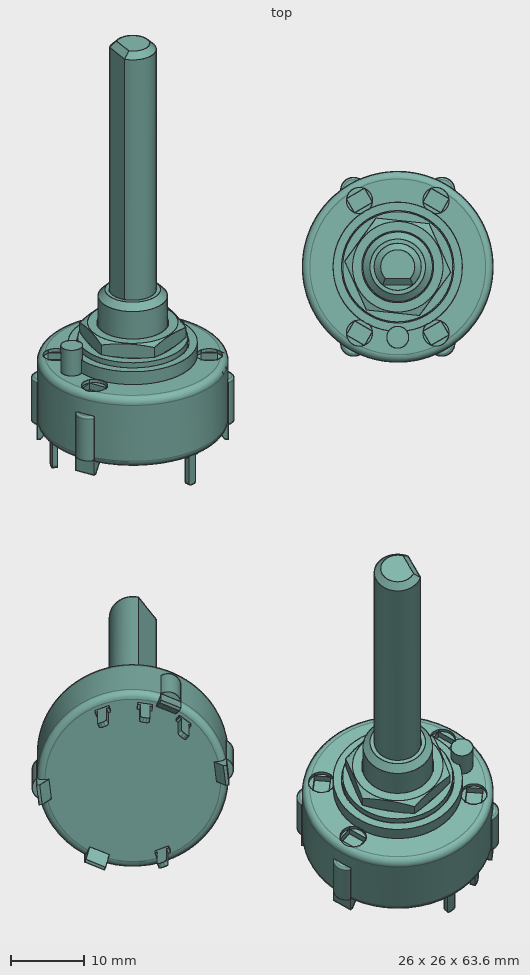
import cadquery as cq
import math


total_height = 63.6

housing_diameter = 26.0
housing_bottom = 5.1
housing_height = 10.6
housing_top = housing_bottom + housing_height
housing_fillet = 1.0

boss_diameter = 17.6
boss_height = 2.0
boss_top = housing_top + boss_height
recess_diameter = 15.3
recess_depth = 0.3
recess_floor = boss_top - recess_depth

washer_diameter = 15.0
washer_top = boss_top + 0.7
nut_across_flats = 12.6
nut_bevel_diameter = 12.35
nut_bore_diameter = 9.8
nut_height = 2.3
nut_rotation = -6.0
nut_chamfer_angle = 20.0

bushing_diameter = 9.5
bushing_top = 25.75
bushing_chamfer = 0.95
shaft_bore_depth = 3.2
bore_floor = bushing_top - shaft_bore_depth

shaft_diameter = 6.4
shaft_flat_distance = 2.5
shaft_chamfer = 0.9

peg_diameter = 3.0
peg_position = 9.6
peg_top = 19.65

leg_angles = (60, 120, 240, 300)
pocket_position = 10.45
pocket_diameter = 3.55
pocket_depth = 0.5
slot_length = 2.85
slot_width = 2.2
slot_depth = 1.5
leg_width = 2.9
rib_face_diameter = 3.55
rib_reach = 13.8
rib_bottom = 5.7
rib_top = 12.45
rib_fillet = 0.3
hook_bottom = 3.45
hook_tip_position = 12.6
hook_root_position = 11.3
rib_root_position = 12.35

pin_angles = (15, 195, 225, 255)
pin_position = 11.1
pin_width = 1.35
pin_thickness = 0.7
pin_tip_fillet = 0.45
shoulder_width = 2.05
shoulder_height = 0.7


def disc(diameter, bottom, top):
    """Cylinder on the Z axis between two heights."""
    return cq.Workplane("XY").workplane(offset=bottom).circle(diameter / 2).extrude(top - bottom)


def at_angle(shape, angle):
    """Shape modelled at the +X side, turned about the Z axis."""
    return shape.rotate((0, 0, 0), (0, 0, 1), angle)


def block(length_x, length_y, bottom, top):
    """Box centred on the Z axis between two heights."""
    return cq.Workplane("XY").workplane(offset=bottom).rect(length_x, length_y).extrude(top - bottom)


def make_housing():
    body = disc(housing_diameter, housing_bottom, housing_top).edges().fillet(housing_fillet)
    for angle in leg_angles:
        body = body.union(at_angle(make_leg(), angle)).cut(at_angle(make_pocket(), angle))
    return body


def make_boss():
    boss = disc(boss_diameter, housing_top, boss_top)
    return boss.cut(disc(recess_diameter, recess_floor, boss_top))


def make_nut():
    nut_top = washer_top + nut_height
    corner_radius = nut_across_flats / math.sqrt(3)
    hexagon = (
        cq.Workplane("XY")
        .workplane(offset=washer_top)
        .polygon(6, 2 * corner_radius)
        .extrude(nut_height)
    )
    bevel_radius = nut_bevel_diameter / 2
    bevel_height = (corner_radius - bevel_radius) * math.tan(math.radians(nut_chamfer_angle))
    bevel_body = (
        cq.Workplane("XZ")
        .moveTo(0, washer_top)
        .lineTo(bevel_radius, washer_top)
        .lineTo(corner_radius, washer_top + bevel_height)
        .lineTo(corner_radius, nut_top - bevel_height)
        .lineTo(bevel_radius, nut_top)
        .lineTo(0, nut_top)
        .close()
        .revolve(360, (0, 0, 0), (0, 1, 0))
    )
    nut = hexagon.intersect(bevel_body).cut(disc(nut_bore_diameter, washer_top, nut_top))
    return at_angle(nut, nut_rotation)


def make_bushing():
    bushing = disc(bushing_diameter, recess_floor, bushing_top).faces(">Z").chamfer(bushing_chamfer)
    return bushing.cut(disc(shaft_diameter, bore_floor, bushing_top))


def make_shaft():
    shaft = disc(shaft_diameter, bore_floor, total_height).faces(">Z").chamfer(shaft_chamfer)
    flat_cut = (
        cq.Workplane("YZ")
        .moveTo(-shaft_diameter, bore_floor)
        .lineTo(-shaft_flat_distance, bore_floor)
        .lineTo(-shaft_flat_distance, total_height - shaft_chamfer)
        .lineTo(-shaft_flat_distance + shaft_chamfer, total_height)
        .lineTo(-shaft_diameter, total_height)
        .close()
        .extrude(shaft_diameter, both=True)
    )
    return shaft.cut(flat_cut)


def make_peg():
    return disc(peg_diameter, housing_top, peg_top).translate((0, -peg_position, 0))


def make_pocket():
    """Round recess with a deeper rectangular slot in its floor."""
    round_recess = disc(pocket_diameter, housing_top - pocket_depth, housing_top)
    slot = block(slot_width, slot_length, housing_top - slot_depth, housing_top)
    return round_recess.union(slot).translate((pocket_position, 0, 0))


def make_leg():
    """Rib with a rounded face on the housing wall and a wedge-shaped hook below it."""
    half_width = leg_width / 2
    face_radius = rib_face_diameter / 2
    corner_reach = rib_reach - face_radius + math.sqrt(face_radius**2 - half_width**2)
    rib = (
        cq.Workplane("XY")
        .workplane(offset=rib_bottom)
        .moveTo(rib_root_position, -half_width)
        .lineTo(corner_reach, -half_width)
        .threePointArc((rib_reach, 0), (corner_reach, half_width))
        .lineTo(rib_root_position, half_width)
        .close()
        .extrude(rib_top - rib_bottom)
        .faces(">Z")
        .edges("%CIRCLE")
        .fillet(rib_fillet)
    )
    hook = (
        cq.Workplane("XZ")
        .moveTo(corner_reach, hook_bottom)
        .lineTo(corner_reach, rib_bottom)
        .lineTo(hook_root_position, rib_bottom)
        .lineTo(hook_root_position, housing_bottom)
        .lineTo(hook_tip_position, hook_bottom)
        .close()
        .extrude(half_width, both=True)
    )
    return rib.union(hook)


def make_pin():
    """Flat terminal blade with a wider shoulder under the housing."""
    blade = block(pin_thickness, pin_width, 0, housing_bottom).edges("<Z and |X").fillet(pin_tip_fillet)
    shoulder = block(pin_thickness, shoulder_width, housing_bottom - shoulder_height, housing_bottom)
    return blade.union(shoulder).translate((pin_position, 0, 0))


result = make_housing()
for angle in pin_angles:
    result = result.union(at_angle(make_pin(), angle))
result = (
    result
    .union(make_boss())
    .union(disc(washer_diameter, recess_floor, washer_top))
    .union(make_nut())
    .union(make_bushing())
    .union(make_shaft())
    .union(make_peg())
)